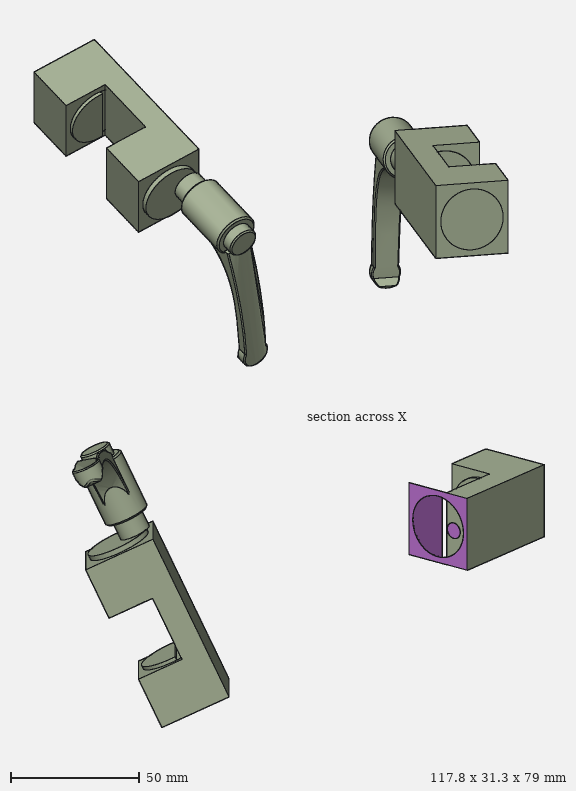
import cadquery as cq
import math

FRAME_LENGTH = 70.0
FRAME_DEPTH = 29.0
FRAME_HEIGHT = 30.0
GAP_WIDTH = 27.0
SPINE_THICKNESS = 10.25
ARM_LENGTH = (FRAME_LENGTH - GAP_WIDTH) / 2
GAP_START = ARM_LENGTH
GAP_END = FRAME_LENGTH - ARM_LENGTH
GAP_FLOOR_Y = FRAME_DEPTH - SPINE_THICKNESS

PAD_RADIUS = 12.5
PAD_Y = FRAME_DEPTH / 2
PAD_FLAT_CLEARANCE = 2.25
PAD_FLAT_Y = GAP_FLOOR_Y - PAD_FLAT_CLEARANCE
FIXED_PAD_PROJECTION = 1.5
MOVING_PAD_PROJECTION = 0.3
MOVING_PAD_OVERHANG = 2.1
PAD_POCKET_DEPTH = 1.75
PAD_OUTER_X = FRAME_LENGTH + MOVING_PAD_OVERHANG

LEVER_INSET = 6.75
LEVER_Y = FRAME_DEPTH - LEVER_INSET
STUD_RADIUS = 3.25
COLLAR_RADIUS = 6.2
HUB_RADIUS = 9.0
HUB_START = 79.5
HUB_END = 104.5
HUB_CHAMFER = 0.7
BUTTON_END = 109.3
BUTTON_CHAMFER = 0.6

ARM_ROOT_HALF_WIDTH = 5.65
ARM_TIP_HALF_WIDTH = 4.95
EDGE_CHAMFER = 0.5
ARM_ROOT_Z = -5.2
ARM_TIP_Z = -58.2
OVERALL_HEIGHT = 79.0
LEVER_BOTTOM_Z = FRAME_HEIGHT / 2 - OVERALL_HEIGHT
INNER_START = (88.5, -7.4)
INNER_SHOULDER = (104.0, -16.4)
INNER_MIDDLE = (111.7, -41.8)
INNER_END = (113.3, -60.0)
OUTER_START = (106.6, ARM_ROOT_Z)
OUTER_END = (117.8, LEVER_BOTTOM_Z)
OUTER_RUN = OUTER_END[0] - OUTER_START[0]
OUTER_DROP = OUTER_START[1] - OUTER_END[1]
OUTER_RADIUS = math.hypot(OUTER_RUN, OUTER_DROP) ** 2 / (2 * OUTER_RUN)
TRIM_MARGIN = 5.0
TRIM_LENGTH = OUTER_END[0] + TRIM_MARGIN
NOSE_BROW = (111.6, -61.2)
NOSE_TIP = (110.4, -62.5)
NOSE_CHIN = (111.0, -63.3)
NOSE_FOOT = (112.3, LEVER_BOTTOM_Z)

KNOB_RADIUS = ARM_TIP_Z - LEVER_BOTTOM_Z


def cylinder_x(radius, start, end, y):
    """Round bar along X at the given Y and mid height."""
    return cq.Workplane("YZ", origin=(start, y, 0)).circle(radius).extrude(end - start)


def behind_flat(start, end):
    """Block covering the pad's side beyond its flat, between two X positions."""
    depth = FRAME_DEPTH - PAD_FLAT_Y
    return (
        cq.Workplane("XY")
        .box(end - start, depth, FRAME_HEIGHT, centered=(False, False, True))
        .translate((start, PAD_FLAT_Y, 0))
    )


def make_frame():
    block = cq.Workplane("XY").box(
        FRAME_LENGTH, FRAME_DEPTH, FRAME_HEIGHT, centered=(False, False, True)
    )
    gap = (
        cq.Workplane("XY")
        .box(GAP_WIDTH, GAP_FLOOR_Y, FRAME_HEIGHT, centered=(False, False, True))
        .translate((GAP_START, 0, 0))
    )
    fixed_bore = cylinder_x(PAD_RADIUS, 0, GAP_START, PAD_Y)
    moving_bore = cylinder_x(PAD_RADIUS, GAP_END, FRAME_LENGTH, PAD_Y)
    return block.cut(gap).cut(fixed_bore).cut(moving_bore)


def make_fixed_pad():
    face_x = GAP_START + FIXED_PAD_PROJECTION
    pad = cylinder_x(PAD_RADIUS, 0, face_x, PAD_Y)
    return pad.cut(behind_flat(GAP_START, face_x))


def make_moving_pad():
    face_x = GAP_END - MOVING_PAD_PROJECTION
    pocket_end = GAP_END + PAD_POCKET_DEPTH
    pad = cylinder_x(PAD_RADIUS, face_x, PAD_OUTER_X, PAD_Y)
    stud_hole = cylinder_x(STUD_RADIUS, face_x, PAD_OUTER_X, LEVER_Y)
    return pad.cut(behind_flat(face_x, pocket_end)).cut(stud_hole)


def make_arm_outline():
    """Side shape of the arm, nose included, wider in Y than any part of it."""
    return (
        cq.Workplane("XZ", origin=(0, HUB_RADIUS, 0))
        .moveTo(INNER_START[0], ARM_ROOT_Z)
        .lineTo(*INNER_START)
        .spline([INNER_SHOULDER, INNER_MIDDLE, INNER_END], includeCurrent=True)
        .threePointArc(NOSE_BROW, NOSE_TIP)
        .threePointArc(NOSE_CHIN, NOSE_FOOT)
        .lineTo(*OUTER_END)
        .radiusArc(OUTER_START, -OUTER_RADIUS)
        .close()
        .extrude(2 * HUB_RADIUS)
    )


def make_handle():
    """Arm and knob: the outline trimmed to a taper with a disc at its foot."""
    taper = (
        cq.Workplane("YZ")
        .polyline([
            (-ARM_ROOT_HALF_WIDTH, ARM_ROOT_Z),
            (ARM_ROOT_HALF_WIDTH, ARM_ROOT_Z),
            (ARM_TIP_HALF_WIDTH, ARM_TIP_Z),
            (-ARM_TIP_HALF_WIDTH, ARM_TIP_Z),
        ])
        .close()
        .extrude(TRIM_LENGTH)
    )
    disc = cylinder_x(KNOB_RADIUS, 0, TRIM_LENGTH, 0).translate((0, 0, ARM_TIP_Z))
    handle = make_arm_outline().intersect(taper.union(disc))
    return handle.edges("not %LINE").chamfer(EDGE_CHAMFER)


def make_lever():
    stud = cylinder_x(STUD_RADIUS, GAP_END, PAD_OUTER_X, LEVER_Y)
    collar = cylinder_x(COLLAR_RADIUS, PAD_OUTER_X, BUTTON_END, LEVER_Y)
    collar = collar.faces(">X").chamfer(BUTTON_CHAMFER)
    hub = cylinder_x(HUB_RADIUS, HUB_START, HUB_END, LEVER_Y)
    hub = hub.faces("<X or >X").chamfer(HUB_CHAMFER)
    handle = make_handle().translate((0, LEVER_Y, 0))
    return collar.union(stud).union(hub).union(handle)


frame = make_frame()
fixed_pad = make_fixed_pad()
moving_pad = make_moving_pad()
lever = make_lever()

bodies = [frame, fixed_pad, moving_pad, lever]
result = cq.Compound.makeCompound([body.solids().val() for body in bodies])